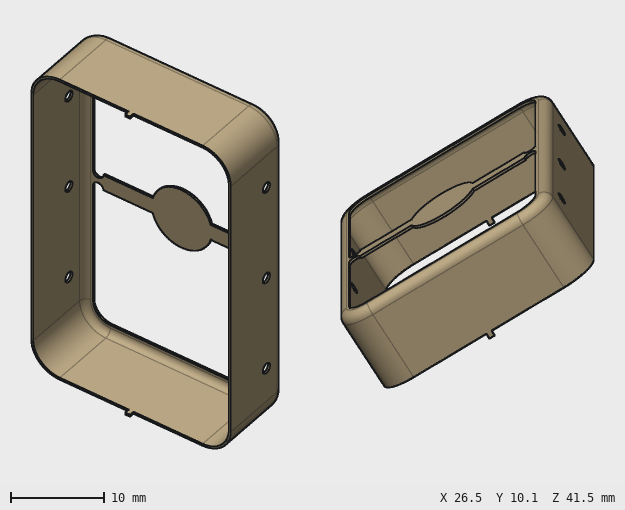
import cadquery as cq

width = 26.5
height = 41.5
total_depth = 10.1
tab_length = 0.62
body_depth = total_depth - tab_length
wall = 0.3
corner_radius = 3.78
back_round = 1.1
flange_width = 1.5

disc_diameter = 7.95
bar_height = 2.08
neck_height = 0.7
notch_radius = (bar_height - neck_height) / 2

hole_diameter = 1.3
hole_pitch = 12.5
hole_from_back = 3.0

tab_width = 0.65

front_y = -body_depth / 2
back_y = body_depth / 2
opening_width = width - 2 * flange_width


def rounded_block(inset, y_start, y_end):
    """Rounded rectangle, inset from the outer outline, extruded along Y."""
    return (
        cq.Workplane("XZ", origin=(0, y_end, 0))
        .rect(width - 2 * inset, height - 2 * inset)
        .extrude(y_end - y_start)
        .edges("|Y")
        .fillet(corner_radius - inset)
    )


def make_frame():
    """Thin wall with a rounded back edge and an inward flange."""
    outer = rounded_block(0, front_y, back_y).faces(">Y").edges().fillet(back_round)
    cavity = rounded_block(wall, front_y, back_y - wall)
    cavity = cavity.faces(">Y").edges().fillet(back_round - wall)
    opening = rounded_block(flange_width, front_y, back_y)
    return outer.cut(cavity).cut(opening)


def make_crossbar():
    """Disc and bar, necked by round notches where the bar meets the flange."""
    plane = cq.Workplane("XZ", origin=(0, back_y, 0))
    bar_length = opening_width + flange_width - back_round
    bar = plane.rect(bar_length, bar_height).extrude(wall)
    notch_x = opening_width / 2 - notch_radius
    notch_centers = [(sx * notch_x, sz * bar_height / 2) for sx in (-1, 1) for sz in (-1, 1)]
    notches = plane.pushPoints(notch_centers).circle(notch_radius).extrude(wall)
    disc = plane.circle(disc_diameter / 2).extrude(wall)
    return bar.cut(notches).union(disc)


def make_side_holes():
    """Three cylinders that pass through both side walls."""
    return (
        cq.Workplane("YZ", origin=(0, back_y - hole_from_back, 0))
        .pushPoints([(0, step * hole_pitch) for step in (-1, 0, 1)])
        .circle(hole_diameter / 2)
        .extrude(width, both=True)
    )


def make_tabs():
    """Small tabs extending the top and bottom walls past the front rim."""
    tab_z = (height - wall) / 2
    return (
        cq.Workplane("XZ", origin=(0, front_y, 0))
        .pushPoints([(0, -tab_z), (0, tab_z)])
        .rect(tab_width, wall)
        .extrude(tab_length)
    )


result = make_frame().union(make_crossbar()).cut(make_side_holes()).union(make_tabs())